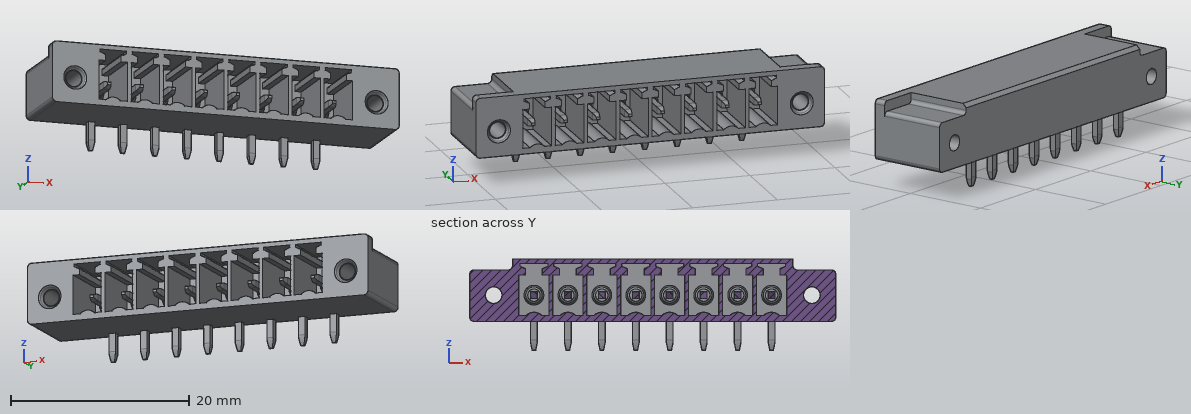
import cadquery as cq
import math


length = 41.05
depth = 9.2
housing_height = 7.02
edge_radius = 0.5
rear_chamfer = 0.45

flange_thickness = 1.35
block_length = 4.8
block_drop = 1.25

screw_spacing = 35.7
screw_hole_diameter = 1.85
mouth_stages = [(2.7, 0), (2.4, 0.15), (1.97, 0.55)]

contact_count = 8
contact_span = 26.65
contact_pitch = contact_span / (contact_count - 1)
contact_height = 2.95
contact_width = 0.8
tip_width = 0.4
tip_thickness = 0.3
tip_taper = 0.9
tip_length = 1.15
tip_setback = 1.4
leg_inset = 1.2
overall_height = 10.25
leg_drop = overall_height - housing_height

rear_wall = 2.45
pocket_depth = depth - rear_wall
pocket_width = 3.35
floor_height = 0.7
shoulder_height = 5.2
neck_width = 1.85
neck_top = 5.9
head_width = 3.12
head_bottom = 6.2
head_top = 6.5
ridge_width = 1.72
ridge_rise = 0.35

boss_stages = [(2.2, 0), (1.85, 0.7), (1.4, 0.9)]

contact_positions = [(i - (contact_count - 1) / 2) * contact_pitch for i in range(contact_count)]


def front_plane(y):
    """Plane parallel to the mating face at depth y, with its normal toward the rear."""
    return cq.Plane(origin=(0, y, 0), xDir=(-1, 0, 0), normal=(0, 1, 0))


def end_block_cutter(side):
    """Space above one lowered end block, with a fillet-shaped foot and a rounded outer edge."""
    outer = length / 2
    inner = outer - block_length
    top = housing_height
    block_top = top - block_drop
    bend = edge_radius * (1 - math.cos(math.radians(45)))
    cutter = (
        cq.Workplane(front_plane(flange_thickness))
        .moveTo(inner, top)
        .lineTo(inner, block_top + edge_radius)
        .threePointArc((inner + bend, block_top + bend), (inner + edge_radius, block_top))
        .lineTo(outer - edge_radius, block_top)
        .threePointArc((outer - bend, block_top - bend), (outer, block_top - edge_radius))
        .lineTo(outer, top)
        .close()
        .extrude(depth - flange_thickness)
    )
    return cutter if side < 0 else cutter.mirror("YZ")


def conical_stack(stages, base, direction):
    """Coaxial cones through (diameter, distance) stages from base, toward +Y (1) or -Y (-1)."""
    outline = [(diameter / 2, distance) for diameter, distance in stages]
    plane = cq.Plane(origin=base, xDir=(1, 0, 0), normal=(0, 0, direction))
    return (
        cq.Workplane(plane)
        .moveTo(0, stages[0][1])
        .polyline(outline, includeCurrent=True)
        .lineTo(0, stages[-1][1])
        .close()
        .revolve(360, (0, 0), (0, 1))
    )


def screw_hole(x):
    """Through hole with a two-stage conical mouth on the mating face."""
    hole = (
        cq.Workplane(front_plane(0))
        .center(-x, contact_height)
        .circle(screw_hole_diameter / 2)
        .extrude(depth)
    )
    return hole.union(conical_stack(mouth_stages, (x, 0, contact_height), 1))


def pocket(x):
    """Keyed pocket that leaves a ridge on its floor and a tapered boss on its back wall."""
    half = pocket_width / 2
    right_side = [
        (half, floor_height),
        (half, shoulder_height),
        (neck_width / 2, shoulder_height),
        (neck_width / 2, neck_top),
        (head_width / 2, head_bottom),
        (head_width / 2, head_top),
    ]
    left_side = [(-px, pz) for px, pz in reversed(right_side)]
    cavity = (
        cq.Workplane(front_plane(0))
        .polyline(right_side + left_side)
        .lineTo(-ridge_width / 2, floor_height)
        .threePointArc((0, floor_height + ridge_rise), (ridge_width / 2, floor_height))
        .close()
        .extrude(pocket_depth)
    )
    boss = conical_stack(boss_stages, (0, pocket_depth, contact_height), -1)
    return cavity.cut(boss).translate((x, 0, 0))


def bullet_tip(plane):
    """Contact end with flat tapers across the plane's X and tangent arcs across its Y."""
    half = contact_width / 2
    end_half = tip_width / 2
    taper_start = tip_length - tip_taper
    flat_profile = (
        cq.Workplane("XZ")
        .polyline([
            (-half, 0),
            (-half, taper_start),
            (-end_half, tip_length),
            (end_half, tip_length),
            (half, taper_start),
            (half, 0),
        ])
        .close()
        .extrude(half, both=True)
    )
    end_half_thickness = tip_thickness / 2
    inset = half - end_half_thickness
    radius = (inset ** 2 + tip_length ** 2) / (2 * inset)
    mid_length = tip_length / 2
    mid_half = half - radius + math.sqrt(radius ** 2 - mid_length ** 2)
    arc_profile = (
        cq.Workplane("YZ")
        .moveTo(-half, 0)
        .threePointArc((-mid_half, mid_length), (-end_half_thickness, tip_length))
        .lineTo(end_half_thickness, tip_length)
        .threePointArc((mid_half, mid_length), (half, 0))
        .close()
        .extrude(half, both=True)
    )
    tip = flat_profile.intersect(arc_profile)
    return cq.Workplane(tip.val().moved(cq.Location(plane)))


def make_contact(x):
    """Right-angle square contact: a horizontal arm in the pocket and a solder leg below."""
    half = contact_width / 2
    arm_start = tip_setback + tip_length
    leg_y = depth - leg_inset
    leg_end = tip_length - leg_drop
    body = (
        cq.Workplane(cq.Plane(origin=(-half, 0, 0), xDir=(0, 1, 0), normal=(1, 0, 0)))
        .moveTo(arm_start, contact_height - half)
        .lineTo(leg_y - half, contact_height - half)
        .lineTo(leg_y - half, leg_end)
        .lineTo(leg_y + half, leg_end)
        .lineTo(leg_y + half, contact_height + half)
        .lineTo(arm_start, contact_height + half)
        .close()
        .extrude(contact_width)
    )
    arm_tip = bullet_tip(cq.Plane((0, arm_start, contact_height), (1, 0, 0), (0, -1, 0)))
    leg_tip = bullet_tip(cq.Plane((0, leg_y, leg_end), (1, 0, 0), (0, 0, -1)))
    return body.union(arm_tip).union(leg_tip).translate((x, 0, 0))


def make_housing(contacts):
    """Housing with end blocks, screw holes, pockets and a matching channel for each contact."""
    housing = (
        cq.Workplane("XY")
        .box(length, depth, housing_height, centered=(True, False, False))
        .faces(">Y")
        .edges(">Z")
        .chamfer(rear_chamfer)
        .edges("|Y")
        .fillet(edge_radius)
    )
    for side in (-1, 1):
        housing = housing.cut(end_block_cutter(side))
        housing = housing.cut(screw_hole(side * screw_spacing / 2))
    for x, contact in zip(contact_positions, contacts):
        housing = housing.cut(pocket(x)).cut(contact)
    return housing


contacts = [make_contact(x) for x in contact_positions]
housing = make_housing(contacts)

result = cq.Compound.makeCompound([housing.val(), *[contact.val() for contact in contacts]])